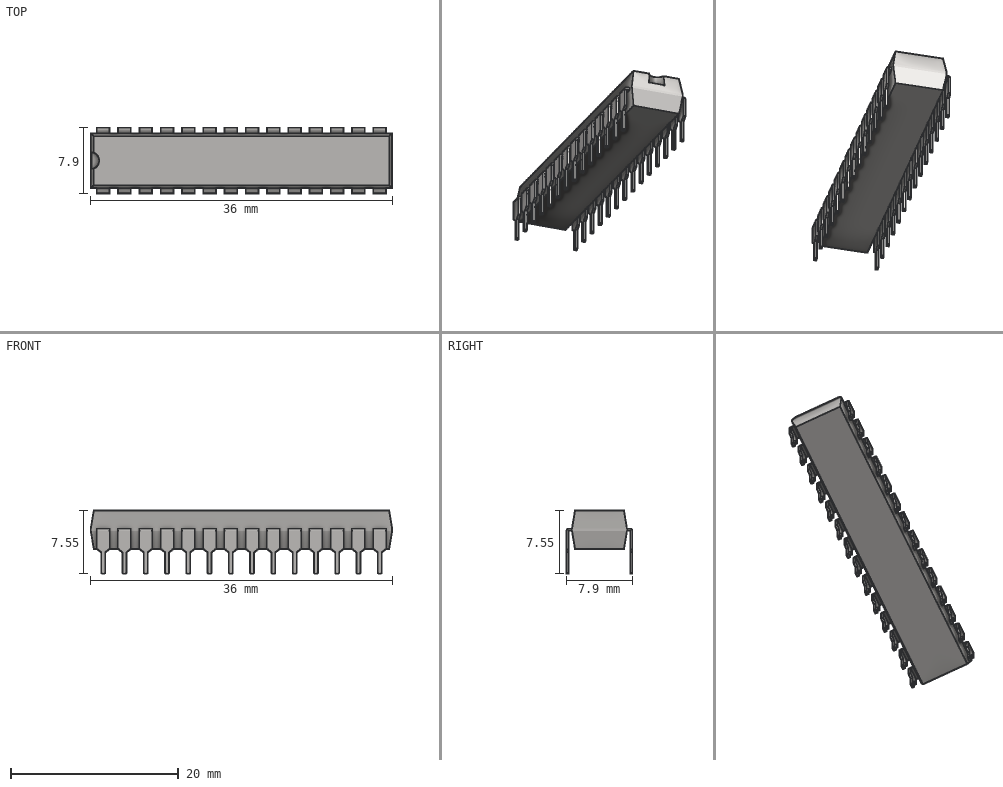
import cadquery as cq

body_length = 36.0
body_width = 6.6
top_z = 7.55
half_height = 2.15
wall_inset = 0.35

leads_per_side = 14
first_to_last_lead = 33.0
lead_pitch = first_to_last_lead / (leads_per_side - 1)
lead_span = 7.9
lead_thickness = 0.3
bend_radius = lead_thickness
shoulder_width = 1.55
shoulder_drop = 0.4
pin_width = 0.5
tip_chamfer = 0.1

notch_radius = 1.0
notch_depth = 1.3

band_top_z = top_z - half_height
band_bottom_z = band_top_z - lead_thickness
body_bottom_z = band_bottom_z - half_height


def tapered_half(start_z, direction):
    """Half of the body, narrowing from the parting band towards its outer face."""
    return (
        cq.Workplane("XY", origin=(0, 0, start_z))
        .rect(body_length, body_width)
        .workplane(offset=direction * half_height)
        .rect(body_length - 2 * wall_inset, body_width - 2 * wall_inset)
        .loft(ruled=True)
    )


def make_body():
    """Body tapered both ways from a straight band, with the pin 1 notch cut in its -X end."""
    band = (
        cq.Workplane("XY", origin=(0, 0, band_bottom_z))
        .rect(body_length, body_width)
        .extrude(lead_thickness)
    )
    notch = (
        cq.Workplane("XY", origin=(-body_length / 2, 0, top_z))
        .circle(notch_radius)
        .extrude(-notch_depth)
    )
    upper_half = tapered_half(band_top_z, 1)
    lower_half = tapered_half(band_bottom_z, -1)
    return band.union(upper_half).union(lower_half).cut(notch)


def make_lead_pair():
    """Two opposite leads as one strip through the body, bent down at both ends."""
    bent_block = (
        cq.Workplane("XY")
        .box(shoulder_width, lead_span, band_top_z, centered=(True, True, False))
        .edges("|X and >Z")
        .fillet(bend_radius)
    )
    space_between = cq.Workplane("XY").box(
        shoulder_width,
        lead_span - 2 * lead_thickness,
        band_bottom_z,
        centered=(True, True, False),
    )
    pin_top_z = body_bottom_z - shoulder_drop
    right_edge = [
        (pin_width / 2 - tip_chamfer, 0),
        (pin_width / 2, tip_chamfer),
        (pin_width / 2, pin_top_z),
        (shoulder_width / 2, body_bottom_z),
        (shoulder_width / 2, band_top_z),
    ]
    left_edge = [(-x, z) for x, z in reversed(right_edge)]
    lead_face = (
        cq.Workplane("XZ")
        .polyline(right_edge + left_edge)
        .close()
        .extrude(lead_span / 2, both=True)
    )
    return bent_block.cut(space_between).intersect(lead_face)


result = make_body()
lead_pair = make_lead_pair()
for index in range(leads_per_side):
    lead_x = index * lead_pitch - first_to_last_lead / 2
    result = result.union(lead_pair.translate((lead_x, 0, 0)))